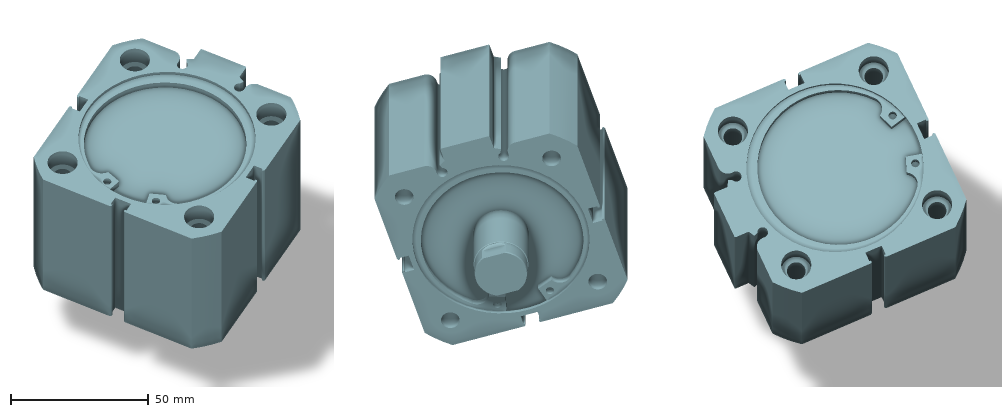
import cadquery as cq
import math

side = 77.5
half_side = side / 2
housing_height = 60.8
corner_radius = 49.4
bore_radius = 32.3

hole_spacing = 56.3
hole_diameter = 6.8
counterbore_diameter = 11.0
counterbore_depth = 7.3

slot_depth = 4.55
slot_half_width = 3.25
lip_thickness = 1.0
lip_half_gap = 2.6
mouth_half_width = 3.15
mouth_depth = 0.3

block_half_width = 9.4
block_top_y = 44.25
block_edge_radius = 0.4
undercut_radius = 1.95
undercut_x = 11.75
undercut_y = 34.2
rail_tip_y = 37.45
rail_root_x = 11.1
shoulder_radius = 3.7

ring_depth = 1.4
ring_thickness = 2.7
ring_outer_radius = 33.95
ring_inner_radius = 29.65
ring_inner_shift = 1.45
lug_gap_angle = 13.8
lug_back_angle = 27.2
lug_inner_radius = 26.2
lug_hole_angle = 20.0
lug_hole_radius = 29.35
lug_hole_diameter = 3.0
lug_blend_x = 18.5
lug_blend_mid = (15.3, -25.5)

cover_inset = ring_depth + ring_thickness
head_cover_thickness = 8.0
rod_cover_thickness = 14.0

overall_height = 84.0
rod_radius = 10.0
rod_chamfer = 0.2
tip_length = 6.3
tip_radius = 9.65
tip_chamfer_radial = 0.2
tip_chamfer_length = 0.6
across_flats = 17.0
flat_runout = 1.0


def slot_profile():
    """T-shaped section of one slot, cut into the -Y side."""
    lip_bottom = -half_side + lip_thickness
    mouth_bottom = -half_side + mouth_depth
    floor = -half_side + slot_depth
    right = [
        (mouth_half_width, -half_side),
        (lip_half_gap, mouth_bottom),
        (lip_half_gap, lip_bottom),
        (slot_half_width, lip_bottom),
        (slot_half_width, floor),
    ]
    left = [(-x, y) for x, y in reversed(right)]
    return cq.Workplane("XY").polyline(right + left).close()


def block_edge_cut():
    """Removes the space beside the port block on its +X side, leaving the rail and the undercut."""
    undercut_left = undercut_x - undercut_radius
    undercut_right = undercut_x + undercut_radius
    undercut_bottom = undercut_y - undercut_radius
    rail_root_y = undercut_y + math.sqrt(undercut_radius**2 - (undercut_x - rail_root_x) ** 2)
    shoulder_x = undercut_right + shoulder_radius
    shoulder_y = half_side - shoulder_radius
    shoulder_mid = (
        shoulder_x - shoulder_radius * math.cos(math.pi / 4),
        shoulder_y + shoulder_radius * math.sin(math.pi / 4),
    )
    return (
        cq.Workplane("XY")
        .moveTo(block_half_width, half_side)
        .lineTo(undercut_x, rail_tip_y)
        .lineTo(rail_root_x, rail_root_y)
        .threePointArc((undercut_left, undercut_y), (undercut_x, undercut_bottom))
        .threePointArc(
            (
                undercut_x + undercut_radius * math.cos(math.pi / 4),
                undercut_y - undercut_radius * math.sin(math.pi / 4),
            ),
            (undercut_right, undercut_y),
        )
        .lineTo(undercut_right, shoulder_y)
        .threePointArc(shoulder_mid, (shoulder_x, half_side))
        .close()
        .extrude(housing_height)
    )


def make_housing():
    body = cq.Workplane("XY").rect(side, side).extrude(housing_height)
    body = body.intersect(cq.Workplane("XY").circle(corner_radius).extrude(housing_height))

    block_depth = block_top_y - bore_radius
    block = (
        cq.Workplane("XY")
        .center(0, block_top_y - block_depth / 2)
        .rect(2 * block_half_width, block_depth)
        .extrude(housing_height)
        .edges("|Z and >Y")
        .fillet(block_edge_radius)
    )
    body = body.union(block)

    edge_cut = block_edge_cut()
    body = body.cut(edge_cut).cut(edge_cut.mirror("YZ"))

    slot = slot_profile().extrude(housing_height)
    for angle in (-90, 0, 90):
        body = body.cut(slot.rotate((0, 0, 0), (0, 0, 1), angle))

    body = body.cut(cq.Workplane("XY").circle(bore_radius).extrude(housing_height))
    for groove_z in (ring_depth, housing_height - cover_inset):
        groove = cq.Workplane("XY", origin=(0, 0, groove_z)).circle(ring_outer_radius).extrude(ring_thickness)
        body = body.cut(groove)

    return (
        body.faces(">Z")
        .workplane(origin=(0, 0, housing_height))
        .rect(hole_spacing, hole_spacing, forConstruction=True)
        .vertices()
        .cboreHole(hole_diameter, counterbore_diameter, counterbore_depth)
    )


def polar(radius, angle):
    """Point at an angle from the -Y direction, towards +X."""
    return radius * math.sin(math.radians(angle)), -radius * math.cos(math.radians(angle))


def mirrored(point):
    return -point[0], point[1]


def make_ring(bottom_z):
    end_outer = polar(ring_outer_radius, lug_gap_angle)
    end_inner = polar(lug_inner_radius, lug_gap_angle)
    lug_back = polar(lug_inner_radius, lug_back_angle)
    blend_end = (lug_blend_x, -ring_inner_shift - math.sqrt(ring_inner_radius**2 - lug_blend_x**2))
    lug_hole = polar(lug_hole_radius, lug_hole_angle)

    ring = (
        cq.Workplane("XY", origin=(0, 0, bottom_z))
        .moveTo(*end_outer)
        .lineTo(*end_inner)
        .lineTo(*lug_back)
        .threePointArc(lug_blend_mid, blend_end)
        .threePointArc((0, ring_inner_radius - ring_inner_shift), mirrored(blend_end))
        .threePointArc(mirrored(lug_blend_mid), mirrored(lug_back))
        .lineTo(*mirrored(end_inner))
        .lineTo(*mirrored(end_outer))
        .threePointArc((0, ring_outer_radius), end_outer)
        .close()
        .extrude(ring_thickness)
    )
    lug_holes = (
        cq.Workplane("XY", origin=(0, 0, bottom_z))
        .pushPoints([lug_hole, mirrored(lug_hole)])
        .circle(lug_hole_diameter / 2)
        .extrude(ring_thickness)
    )
    return ring.cut(lug_holes)


def make_head_cover():
    bottom_z = housing_height - cover_inset - head_cover_thickness
    return cq.Workplane("XY", origin=(0, 0, bottom_z)).circle(bore_radius).extrude(head_cover_thickness)


def make_rod_cover():
    return (
        cq.Workplane("XY", origin=(0, 0, cover_inset))
        .circle(bore_radius)
        .circle(rod_radius)
        .extrude(rod_cover_thickness)
    )


def make_rod():
    """Stepped rod reaching up to the head cover, with two wrench flats on its tip."""
    tip_z = housing_height - overall_height
    shoulder_z = tip_z + tip_length
    top_z = housing_height - cover_inset - head_cover_thickness
    rod = (
        cq.Workplane("XZ")
        .polyline([
            (0, tip_z),
            (tip_radius - tip_chamfer_radial, tip_z),
            (tip_radius, tip_z + tip_chamfer_length),
            (tip_radius, shoulder_z),
            (rod_radius - rod_chamfer, shoulder_z),
            (rod_radius, shoulder_z + rod_chamfer),
            (rod_radius, top_z),
            (0, top_z),
        ])
        .close()
        .revolve(360, (0, 0, 0), (0, 1, 0))
    )
    flat_y = across_flats / 2
    flat_cut = (
        cq.Workplane("YZ")
        .polyline([
            (-flat_y, tip_z),
            (-flat_y, shoulder_z - flat_runout),
            (-flat_y - flat_runout, shoulder_z),
            (-rod_radius, shoulder_z),
            (-rod_radius, tip_z),
        ])
        .close()
        .extrude(rod_radius, both=True)
    )
    return rod.cut(flat_cut).cut(flat_cut.mirror("XZ"))


housing = make_housing()
rings = [make_ring(z) for z in (ring_depth, housing_height - cover_inset)]
head_cover = make_head_cover()
rod_cover = make_rod_cover()
rod = make_rod()

result = cq.Compound.makeCompound([
    housing.val(),
    *[ring.val() for ring in rings],
    head_cover.val(),
    rod_cover.val(),
    rod.val(),
])